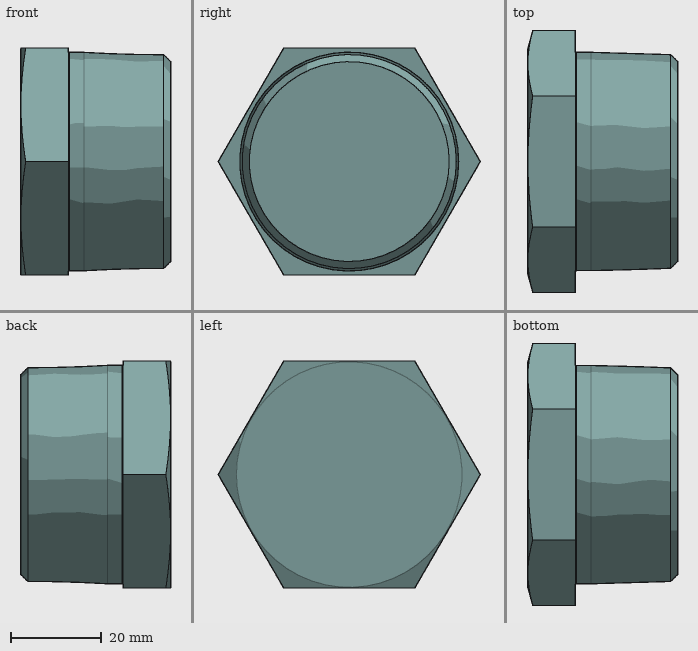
import cadquery as cq
import math

across_corners = 57.75
across_flats = across_corners * math.cos(math.radians(30))
face_circle_inset = 0.2
face_circle_radius = across_flats / 2 - face_circle_inset
corner_chamfer_length = 1.1
head_length = 10.5

step_diameter = 48.2
step_length = 0.2
step_end = head_length + step_length

total_length = 33.0
collar_diameter = 48.15
collar_end = 13.9
taper_end_diameter = 47.1
end_chamfer = 1.55
taper_end = total_length - end_chamfer


def revolve_about_x(points):
    """Solid of revolution about X from (x, radius) points, closed along the axis."""
    return cq.Workplane("XY").polyline(points).close().revolve(360, (0, 0, 0), (1, 0, 0))


def make_head():
    """Hexagon with two corners on the Y axis and corners cut back at the outer face."""
    hexagon = cq.Workplane("YZ").polygon(6, across_corners).extrude(head_length)
    corner_cone = revolve_about_x([
        (0, 0),
        (0, face_circle_radius),
        (corner_chamfer_length, across_corners / 2),
        (head_length, across_corners / 2),
        (head_length, 0),
    ])
    return hexagon.intersect(corner_cone)


def make_body():
    """Solid plug from the back of the head to the chamfered end."""
    return revolve_about_x([
        (head_length, 0),
        (head_length, step_diameter / 2),
        (step_end, step_diameter / 2),
        (step_end, collar_diameter / 2),
        (collar_end, collar_diameter / 2),
        (taper_end, taper_end_diameter / 2),
        (total_length, taper_end_diameter / 2 - end_chamfer),
        (total_length, 0),
    ])


result = make_head().union(make_body())